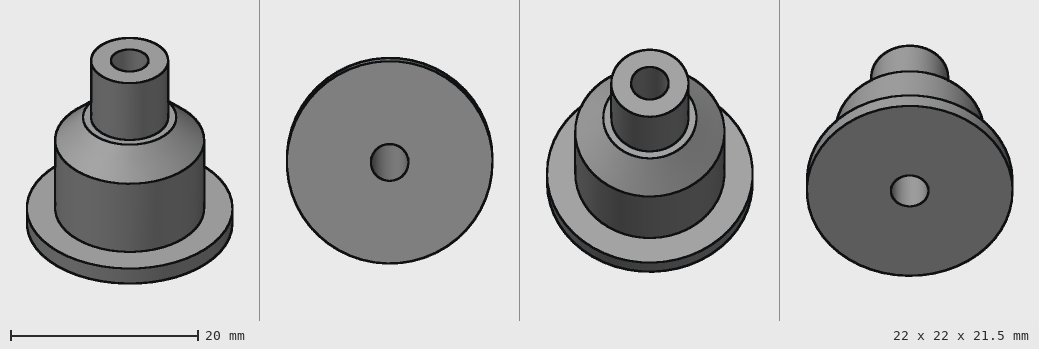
import cadquery as cq

flange_diameter = 22
body_diameter = 15.95
neck_diameter = 8.25
bore_diameter = 4.0

total_height = 21.5
flange_thickness = 2.0
body_height = 9.0
shoulder_height = 3.0
neck_height = total_height - flange_thickness - body_height - shoulder_height

flange = cq.Workplane("XY").circle(flange_diameter / 2).extrude(flange_thickness)

body = (
    flange.faces(">Z").workplane()
    .circle(body_diameter / 2)
    .extrude(body_height + shoulder_height, combine=False)
    .faces(">Z").chamfer(shoulder_height)
)

neck = (
    body.faces(">Z").workplane()
    .circle(neck_diameter / 2)
    .extrude(neck_height, combine=False)
)

result = (
    flange.union(body).union(neck)
    .faces(">Z").workplane()
    .hole(bore_diameter)
)